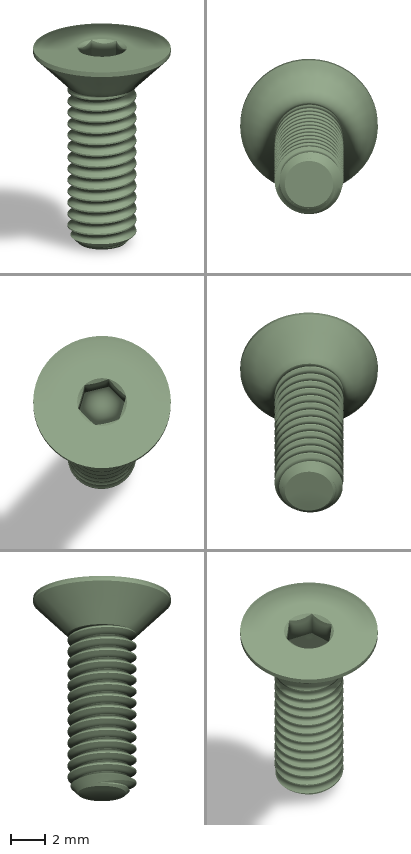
import cadquery as cq
import math

length = 12
nominal_radius = length / 6
head_radius = 2 * nominal_radius
rim_height = 0.29
core_radius = 1.54
tip_radius = 1.4

pitch = 2 * nominal_radius * 0.7 / 4
crest_width = pitch / 8
flank_angle = math.radians(30)
crest_height_at_x = 0.58
trim_radius = 1.2 * nominal_radius

socket_flats = nominal_radius * 5 / 4
socket_corner_radius = socket_flats / math.sqrt(3)
socket_depth = 1.58

cone_top = length - rim_height
head_bottom = cone_top - (head_radius - nominal_radius)


def chamfered_rod(radius, height):
    """Rod standing on Z = 0, tapered at 45 degrees down to the tip radius."""
    outline = [
        (0, 0),
        (tip_radius, 0),
        (radius, radius - tip_radius),
        (radius, height),
        (0, height),
    ]
    return cq.Workplane("XZ").polyline(outline).close().revolve(360, (0, 0), (0, 1))


def make_head():
    outline = [
        (0, head_bottom),
        (nominal_radius, head_bottom),
        (head_radius, cone_top),
        (head_radius, length),
        (0, length),
    ]
    return cq.Workplane("XZ").polyline(outline).close().revolve(360, (0, 0), (0, 1))


def make_socket():
    hexagon = (
        cq.Workplane("XY", origin=(0, 0, length - socket_depth))
        .transformed(rotate=(0, 0, 90))
        .polygon(6, 2 * socket_corner_radius)
        .extrude(socket_depth)
    )
    lead_in = cq.Workplane(
        cq.Solid.makeCone(0, socket_corner_radius, socket_corner_radius,
                          pnt=cq.Vector(0, 0, length - socket_corner_radius))
    )
    return hexagon.union(lead_in)


def make_screw():
    return chamfered_rod(core_radius, head_bottom).union(make_head()).cut(make_socket())


def make_thread():
    """Helical ridge around the core, trimmed by the head and the tip chamfer."""
    half_crest = crest_width / 2
    half_root = half_crest + (nominal_radius - core_radius) * math.tan(flank_angle)

    start = crest_height_at_x - 2 * pitch
    turns = math.ceil((head_bottom - start) / pitch) + 1
    helix = cq.Wire.makeHelix(pitch, turns * pitch, core_radius, cq.Vector(0, 0, start))
    section = [
        (core_radius, start - half_root),
        (nominal_radius, start - half_crest),
        (nominal_radius, start + half_crest),
        (core_radius, start + half_root),
    ]
    ridge = cq.Workplane("XZ").polyline(section).close().sweep(cq.Workplane(helix), isFrenet=True)

    return ridge.intersect(chamfered_rod(trim_radius, head_bottom))


screw = make_screw()
thread = make_thread()
result = cq.Compound.makeCompound([screw.val(), *thread.solids().vals()])